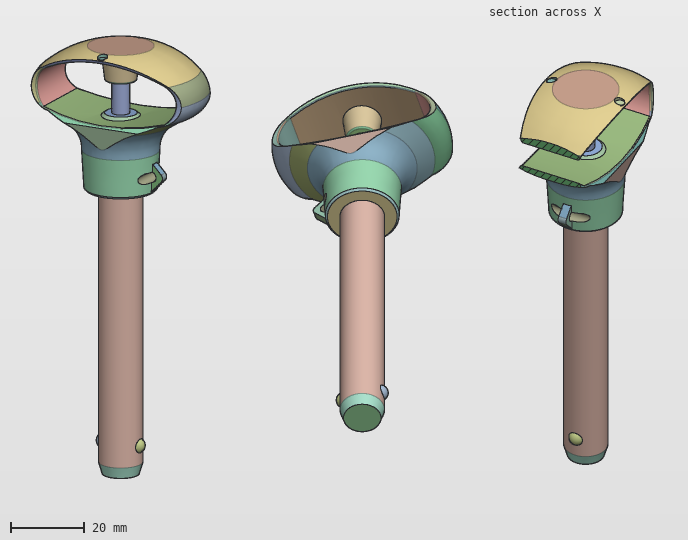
import cadquery as cq

top_z = 121.1
collar_z = 80.5
shank_radius = 6.0
overlap = 1.2

tip_radius = 5.1
tip_length = 3.3
ball_radius = 2.2
ball_reach = 7.3
ball_z = 8.6

collar_bottom_radius = 10.0
collar_chamfer = 0.6
collar_top_radius = 10.7
collar_top_z = 91.8
flare_radius = 14.9
flare_z = 99.9
crown_radius = 9.1
shoulder_radius = 21.8
shoulder_z = 114.6
handle_radius = 49.0 / 2
widest_z = 109.0
underside_point = (19.7, 103.0)

flare_mid = (11.7, 96.5)
lower_bulge_mid = (23.3, 105.2)
upper_bulge_mid = (23.7, 112.0)
crown_mid = (15.9, 118.5)

lip_half_width = 24.8 / 2
lip_z = 120.0
waist_half_width = 8.4
waist_upper_z = 114.6
waist_lower_z = 104.6
waist_end_half_width = 9.5
flank_half_width = 11.6
flank_z = 100.8

opening_half_width = 21.3
opening_top_z = 119.2
opening_floor_z = 101.4
opening_side_half_width = 18.5
opening_side_z = 103.9
opening_shoulder = (17.5, 115.0)
opening_widest_z = 109.4
rim_fillet = 0.4
contact_tolerance = 0.0001

stem_radius = 5.0 / 2
seat_bottom_radius = 5.8
seat_top_radius = 4.5
seat_z = 102.2
seat_embed = 0.2
button_bottom_radius = 4.4
button_top_radius = 5.3
button_bottom_z = 111.4
button_fillet = 0.5

dimple_radius = 2.8 / 2
dimple_floor_z = 120.1

lug_thickness = 2.4
lug_reach = 13.3
lug_z = 85.6
lug_half_height = 4.1
lug_nose_radius = 1.5
lug_root_x = 9.2
lanyard_hole_x = 9.9
lanyard_hole_radius = 3.0 / 2


def revolved_handle():
    """Collar, flared neck and domed crown, before the sides are waisted."""
    profile = (
        cq.Workplane("XZ")
        .moveTo(0, collar_z)
        .lineTo(collar_bottom_radius - collar_chamfer, collar_z)
        .lineTo(collar_bottom_radius, collar_z + collar_chamfer)
        .lineTo(collar_top_radius, collar_top_z)
        .threePointArc(flare_mid, (flare_radius, flare_z))
        .lineTo(*underside_point)
        .threePointArc(lower_bulge_mid, (handle_radius, widest_z))
        .threePointArc(upper_bulge_mid, (shoulder_radius, shoulder_z))
        .threePointArc(crown_mid, (crown_radius, top_z))
        .lineTo(0, top_z)
        .close()
    )
    return profile.revolve(360, (0, 0, 0), (0, 1, 0)).rotate((0, 0, 0), (0, 0, 1), 180)


def waist_envelope():
    """Bar along X whose cross-section gives the handle its waisted sides."""
    half_section = (
        cq.Workplane("YZ")
        .moveTo(0, collar_z - overlap)
        .lineTo(collar_top_radius, collar_z - overlap)
        .lineTo(collar_top_radius, collar_top_z)
        .lineTo(flank_half_width, flank_z)
        .lineTo(waist_end_half_width, waist_lower_z)
        .threePointArc((waist_half_width, widest_z), (waist_end_half_width, waist_upper_z))
        .lineTo(lip_half_width, lip_z)
        .lineTo(lip_half_width, top_z + overlap)
        .lineTo(0, top_z + overlap)
        .close()
        .extrude(handle_radius + overlap, both=True)
    )
    return half_section.union(half_section.mirror("XZ"))


def finger_opening():
    """Through-cutter along Y with a domed top and a gently dished floor."""
    shoulder_x, shoulder_height = opening_shoulder
    return (
        cq.Workplane("XZ")
        .moveTo(-opening_side_half_width, opening_side_z)
        .threePointArc((0, opening_floor_z), (opening_side_half_width, opening_side_z))
        .threePointArc((opening_half_width, opening_widest_z), (shoulder_x, shoulder_height))
        .threePointArc((0, opening_top_z), (-shoulder_x, shoulder_height))
        .threePointArc((-opening_half_width, opening_widest_z), (-opening_side_half_width, opening_side_z))
        .close()
        .extrude(handle_radius, both=True)
    )


def touches(edge, solid):
    """True when the middle of the edge lies on the solid."""
    middle = cq.Vertex.makeVertex(*edge.positionAt(0.5).toTuple())
    return solid.distance(middle) < contact_tolerance


def opened_handle():
    """Waisted handle with the finger opening cut and its two rims rounded."""
    opening = finger_opening()
    body = revolved_handle().intersect(waist_envelope()).cut(opening)
    rim = [
        edge
        for edge in body.edges().vals()
        if abs(edge.Center().y) > waist_half_width / 2 and touches(edge, opening.val())
    ]
    return body.newObject(rim).fillet(rim_fillet)


def cone(bottom_radius, top_radius, bottom_z, upper_z):
    """Solid tapered cylinder on the pin axis."""
    return (
        cq.Workplane("XZ")
        .moveTo(0, bottom_z)
        .lineTo(bottom_radius, bottom_z)
        .lineTo(top_radius, upper_z)
        .lineTo(0, upper_z)
        .close()
        .revolve(360, (0, 0, 0), (0, 1, 0))
    )


def shank():
    """Straight pin with a tapered tip and two opposed locking balls."""
    body = cone(tip_radius, shank_radius, 0, tip_length)
    body = body.union(cone(shank_radius, shank_radius, tip_length, collar_z + overlap))
    ball_x = ball_reach - ball_radius
    for side in (-1, 1):
        body = body.union(cq.Workplane("XY").sphere(ball_radius).translate((side * ball_x, 0, ball_z)))
    return body


def plunger():
    """Seat, stem and tapered button joining the opening's floor and roof."""
    seat = cone(seat_bottom_radius, seat_top_radius, opening_floor_z - seat_embed, seat_z)
    stem = cone(stem_radius, stem_radius, opening_floor_z, button_bottom_z + overlap)
    button = cone(button_bottom_radius, button_top_radius, button_bottom_z, opening_top_z)
    button = button.faces("<Z").edges().fillet(button_fillet)
    return seat.union(stem).union(button)


def lug():
    """Pointed plate on the +X side of the collar, rounded at its nose."""
    outline = [
        (lug_root_x, lug_z - lug_half_height),
        (collar_bottom_radius, lug_z - lug_half_height),
        (lug_reach + lug_nose_radius / 2, lug_z),
        (collar_bottom_radius, lug_z + lug_half_height),
        (lug_root_x, lug_z + lug_half_height),
    ]
    plate = cq.Workplane("XZ").polyline(outline).close().extrude(lug_thickness / 2, both=True)
    return plate.edges("|Y and >X").fillet(lug_nose_radius)


dimple_y = crown_radius + dimple_radius
dimples = (
    cq.Workplane("XY", origin=(0, 0, dimple_floor_z))
    .pushPoints([(0, -dimple_y), (0, dimple_y)])
    .circle(dimple_radius)
    .extrude(top_z)
)
lanyard_hole = (
    cq.Workplane("XZ")
    .center(lanyard_hole_x, lug_z)
    .circle(lanyard_hole_radius)
    .extrude(handle_radius, both=True)
)

result = opened_handle().union(lug()).cut(lanyard_hole).cut(dimples).union(shank()).union(plunger())